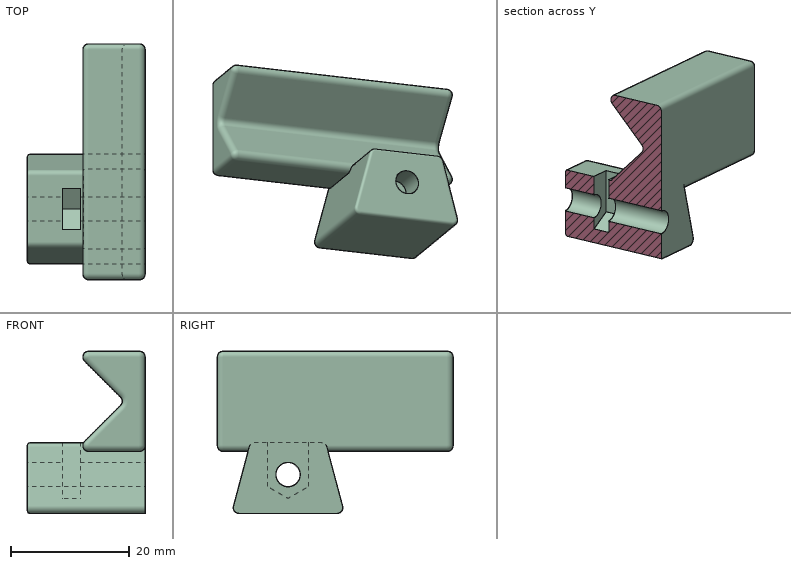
import cadquery as cq
import math

total_height = 27.5
edge_radius = 1.0

rail_length = 40.0
rail_height = 17.0
rail_depth = 12.0

foot_length = 20.0
foot_height = 12.0
foot_bottom_width = 19.2
foot_top_width = 12.8
foot_center_y = -8.0
foot_front_radius = edge_radius / 2

hole_diameter = 4.1
hole_height = 6.6
nut_across_flats = 7.0
nut_start = 6.0
nut_thickness = 3.0


def make_rail():
    """Rail with a 90 degree V groove facing -X and every edge rounded."""
    back = foot_length
    lip = back - rail_depth
    bottom = total_height - rail_height
    groove_depth = rail_height / 2
    profile = [
        (lip, bottom),
        (back, bottom),
        (back, total_height),
        (lip, total_height),
        (lip + groove_depth, bottom + groove_depth),
    ]
    rail = (
        cq.Workplane("XZ")
        .polyline(profile)
        .close()
        .extrude(rail_length / 2, both=True)
    )
    return rail.edges("|Y").fillet(edge_radius).faces("<Y or >Y").edges().fillet(edge_radius)


def make_foot():
    """Trapezoidal foot with rounded long edges and a softened front face."""
    half_bottom = foot_bottom_width / 2
    half_top = foot_top_width / 2
    profile = [
        (foot_center_y - half_bottom, 0),
        (foot_center_y + half_bottom, 0),
        (foot_center_y + half_top, foot_height),
        (foot_center_y - half_top, foot_height),
    ]
    foot = cq.Workplane("YZ").polyline(profile).close().extrude(foot_length)
    return foot.edges("|X").fillet(edge_radius).faces("<X").edges().fillet(foot_front_radius)


def make_screw_hole():
    """Round hole through the foot along X."""
    return (
        cq.Workplane("YZ")
        .center(foot_center_y, hole_height)
        .circle(hole_diameter / 2)
        .extrude(foot_length)
    )


def make_nut_pocket():
    """Vertical slot whose floor is the lower V of a hexagonal nut."""
    half_width = nut_across_flats / 2
    corner_radius = nut_across_flats / math.sqrt(3)
    floor_height = hole_height - corner_radius
    wall_height = hole_height - corner_radius / 2
    profile = [
        (foot_center_y, floor_height),
        (foot_center_y + half_width, wall_height),
        (foot_center_y + half_width, foot_height),
        (foot_center_y - half_width, foot_height),
        (foot_center_y - half_width, wall_height),
    ]
    return (
        cq.Workplane("YZ", origin=(nut_start, 0, 0))
        .polyline(profile)
        .close()
        .extrude(nut_thickness)
    )


foot = make_foot().cut(make_screw_hole()).cut(make_nut_pocket())
result = foot.union(make_rail())